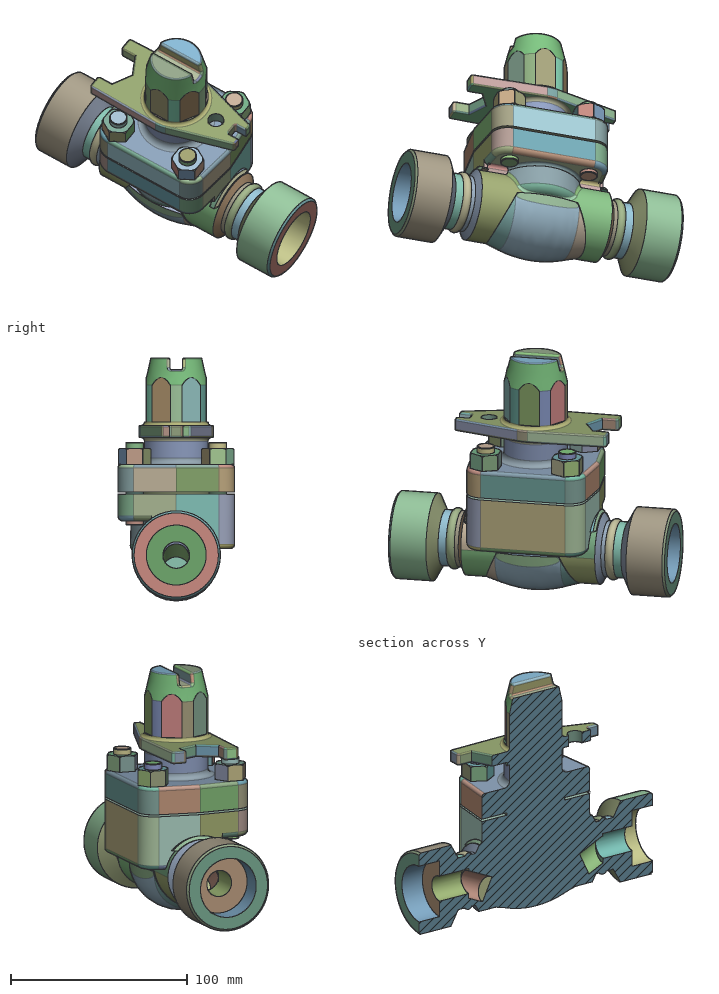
import cadquery as cq
import math


FACE_X = 80.0
SOCKET_R = 25.0
SOCKET_CHAMFER = 1.2
SOCKET_SHOULDER_X = 58.0
SOCKET_CONE_X = 53.0
SOCKET_BORE_R = 33.9 / 2
SOCKET_DEPTH = 14.0
NECK_R = 16.0
WELD_X = 46.0
WELD_HALF_WIDTH = 2.4
WELD_R = 17.4
BODY_CONE_X = 41.3
BODY_X = 38.8
BODY_R = 20.4
COLLAR_X = 37.0
COLLAR_R = 22.2
COLLAR_INNER_X = 34.0
COLLAR_BOTTOM_Z = 14.6

BORE_R = 7.5
BORE_BEND_X = 46.0
BORE_TILT = 25.0
BORE_TILT_DROP = 2.0
BORE_TILT_LENGTH = 14.0

BOWL_AXIS_DROP = 2.0
BOWL_DEPTH = 26.0
BOWL_TOP_X = 18.0
BOWL_ARC_X = 19.0
BOWL_ARC_DEPTH = 22.9
BOWL_BOTTOM_X = 27.5
BOWL_FRONT_Y = 23.6
BOWL_FRONT_END_Y = 21.2

POCKET_TOP_R = 25.5
POCKET_BOTTOM_R = 26.2
POCKET_BOTTOM_Z = 1.2
POCKET_ROUND = 4.6
POCKET_BLEND_R = 2.6

FLANGE_HALF_Y = 33.0
FLANGE_HALF_X = 37.0
FLANGE_END_X = 33.5
FLANGE_CORNER_R = 10.0
FLANGE_BOTTOM_Z = 19.2
FLANGE_BOTTOM_ROUND = 3.0
GAP_BOTTOM_Z = 34.4
GAP_TOP_Z = 35.6
BONNET_TOP_Z = 51.2
BONNET_ROUND = 2.0
GASKET_R = 20.0
REAR_BOTTOM_Z = 3.6
REAR_BOTTOM_ROUND = 2.5
REAR_WALL_Y = -14.0
UNDERSIDE_BLEND_R = 2.0

STUD_X = 23.6
STUD_Y = 23.5
STUD_R = 5.0
STUD_BOTTOM_Z = 17.0
STUD_TOP_Z = 63.7
STUD_CHAMFER = 0.4
NUT_SIDES = 6
NUT_FLATS = 16.0
NUT_TOP_Z = 60.3
NUT_TRIM_R = 18.38 / 2
NUT_CHAMFER = 0.7

STEM_R = 18.0
STEM_BASE_ROUND = 3.6
KNOB_FLAT = 17.0
KNOB_FLATS = 6
KNOB_CONE_Z = 96.0
KNOB_TOP_Z = 111.5
KNOB_TOP_R = 14.4
KNOB_TOP_ROUND = 0.8
SLOT_WIDTH = 7.0
SLOT_BOTTOM_Z = 104.8
SLOT_CORNER_R = 0.9
SLOT_EDGE_R = 1.3

PLATE_BOTTOM_Z = 66.4
PLATE_TOP_Z = 73.2
PLATE_EDGE_R = 0.8
HUB_R = 21.1
HUB_ROUND = 2.1
PRONG_X = -45.3
PRONG_OUTER_Y = 20.1
PRONG_INNER_Y = 11.5
PRONG_ROOT_X = -36.0
VEE_X = -30.0
TIP_X = 45.1
TIP_HALF_Y = 8.1
TIP_NOTCH_X = 37.8
TIP_NOTCH_HALF_Y = 3.7
TIP_NOTCH_R = 1.0
TIP_CORNER_R = 1.2
PRONG_CORNER_R = 1.5
PLATE_HOLE_X = 27.0
PLATE_HOLE_R = 4.5
PIN_R = 1.5
PIN_Z = 65.9
PIN_END_X = 19.6

MARGIN = 1.0
EDGE_MARGIN = 0.1
EDGE_SAMPLES = (0.2, 0.5, 0.8)
ON_SURFACE = 0.001


def cylinder_z(radius, bottom, top):
    return cq.Workplane("XY").workplane(offset=bottom).circle(radius).extrude(top - bottom)


def cylinder_x(radius, start, end):
    return cq.Workplane("YZ").workplane(offset=start).circle(radius).extrude(end - start)


def box(x0, x1, y0, y1, z0, z1):
    return cq.Workplane("XY").box(x1 - x0, y1 - y0, z1 - z0, centered=False).translate((x0, y0, z0))


def revolve_x(profile):
    return profile.close().revolve(360, (0, 0, 0), (1, 0, 0))


def concave_ring(inner_r, blend_r, z, direction):
    chord = blend_r * (1 - math.sqrt(0.5))
    end_z = z + direction * blend_r
    profile = (
        cq.Workplane("XZ")
        .moveTo(0, z)
        .lineTo(inner_r + blend_r, z)
        .threePointArc((inner_r + chord, z + direction * chord), (inner_r, end_z))
        .lineTo(0, end_z)
        .close()
    )
    return profile.revolve(360, (0, 0, 0), (0, 1, 0))


def pipe_half():
    profile = (
        cq.Workplane("XZ")
        .moveTo(0, 0)
        .lineTo(0, BODY_R)
        .lineTo(BODY_X, BODY_R)
        .lineTo(BODY_CONE_X, NECK_R)
        .lineTo(WELD_X - WELD_HALF_WIDTH, NECK_R)
        .threePointArc((WELD_X, WELD_R), (WELD_X + WELD_HALF_WIDTH, NECK_R))
        .lineTo(SOCKET_CONE_X, NECK_R)
        .lineTo(SOCKET_SHOULDER_X, SOCKET_R)
        .lineTo(FACE_X - SOCKET_CHAMFER, SOCKET_R)
        .lineTo(FACE_X, SOCKET_R - SOCKET_CHAMFER)
        .lineTo(FACE_X, 0)
    )
    half = revolve_x(profile)
    collar_profile = (
        cq.Workplane("XZ")
        .moveTo(COLLAR_INNER_X, 0)
        .lineTo(COLLAR_INNER_X, COLLAR_R)
        .lineTo(COLLAR_X, COLLAR_R)
        .lineTo(BODY_CONE_X, NECK_R)
        .lineTo(BODY_CONE_X, 0)
    )
    upper = box(0, FACE_X, -SOCKET_R, SOCKET_R, COLLAR_BOTTOM_Z, SOCKET_R)
    return half.union(revolve_x(collar_profile).intersect(upper))


def passage_half():
    socket = cylinder_x(SOCKET_BORE_R, FACE_X - SOCKET_DEPTH, FACE_X)
    bore = cylinder_x(BORE_R, BORE_BEND_X, FACE_X)
    tilt = math.radians(BORE_TILT)
    inward = cq.Plane((BORE_BEND_X, 0, -BORE_TILT_DROP), (0, 1, 0), (-math.cos(tilt), 0, -math.sin(tilt)))
    slope = cq.Workplane(inward).workplane(offset=-BORE_R).circle(BORE_R).extrude(BORE_R + BORE_TILT_LENGTH)
    inner_side = box(0, BORE_BEND_X, -BODY_R, BODY_R, -BODY_R, BODY_R)
    return socket.union(bore).union(slope.intersect(inner_side))


def both_ends(half):
    return half.union(half.mirror("YZ"))


def bowl():
    profile = (
        cq.Workplane("XZ")
        .moveTo(-BOWL_BOTTOM_X, 0)
        .lineTo(-BOWL_BOTTOM_X, BODY_R - BOWL_AXIS_DROP)
        .lineTo(-BOWL_ARC_X, BOWL_ARC_DEPTH - BOWL_AXIS_DROP)
        .threePointArc((0, BOWL_DEPTH - BOWL_AXIS_DROP), (BOWL_ARC_X, BOWL_ARC_DEPTH - BOWL_AXIS_DROP))
        .lineTo(BOWL_BOTTOM_X, BODY_R - BOWL_AXIS_DROP)
        .lineTo(BOWL_BOTTOM_X, 0)
    )
    sides = (
        cq.Workplane("XZ")
        .polyline([
            (-BOWL_TOP_X, 0), (BOWL_TOP_X, 0),
            (BOWL_BOTTOM_X, -BODY_R), (BOWL_BOTTOM_X, -BOWL_DEPTH),
            (-BOWL_BOTTOM_X, -BOWL_DEPTH), (-BOWL_BOTTOM_X, -BODY_R),
        ])
        .close()
        .extrude(BOWL_DEPTH, both=True)
    )
    bowl_body = revolve_x(profile).translate((0, 0, -BOWL_AXIS_DROP)).intersect(sides)
    bulge = BOWL_FRONT_Y - BOWL_FRONT_END_Y
    bulge_r = (BOWL_TOP_X**2 + bulge**2) / (2 * bulge)
    wall = cylinder_z(bulge_r, -BOWL_DEPTH - MARGIN, MARGIN)
    for side in (-1, 1):
        bowl_body = bowl_body.intersect(wall.translate((0, side * (BOWL_FRONT_Y - bulge_r), 0)))
    return bowl_body


def lies_on_pipe(edge):
    points = [edge.positionAt(share) for share in EDGE_SAMPLES]
    return all(abs(math.hypot(point.y, point.z) - BODY_R) < ON_SURFACE for point in points)


def front_pocket_wall():
    height = FLANGE_BOTTOM_Z - POCKET_BOTTOM_Z
    wall = (
        cq.Workplane("XY")
        .workplane(offset=POCKET_BOTTOM_Z)
        .circle(POCKET_BOTTOM_R)
        .workplane(offset=height)
        .circle(POCKET_TOP_R)
        .loft(ruled=True)
    )
    wall = wall.faces("<Z").edges().fillet(POCKET_ROUND)
    front = box(-FLANGE_END_X, FLANGE_END_X, -FLANGE_HALF_Y, 0, POCKET_BOTTOM_Z, FLANGE_BOTTOM_Z)
    pipe = cylinder_x(BODY_R, -BODY_X, BODY_X)
    joined = pipe.union(wall.intersect(front))
    foot_zone = cq.selectors.BoxSelector(
        (-POCKET_BOTTOM_R, -POCKET_BOTTOM_R, 0),
        (POCKET_BOTTOM_R, -MARGIN, FLANGE_BOTTOM_Z - MARGIN),
    )
    foot = [edge for edge in joined.edges(foot_zone).vals() if lies_on_pipe(edge)]
    blended = joined.newObject(foot).fillet(POCKET_BLEND_R)
    top_blend = concave_ring(POCKET_TOP_R, UNDERSIDE_BLEND_R, FLANGE_BOTTOM_Z, -1)
    return blended.union(top_blend.intersect(front))


def flange_block(bottom, top):
    outline = [
        (FLANGE_HALF_X, 0), (FLANGE_END_X, FLANGE_HALF_Y), (-FLANGE_END_X, FLANGE_HALF_Y),
        (-FLANGE_HALF_X, 0), (-FLANGE_END_X, -FLANGE_HALF_Y), (FLANGE_END_X, -FLANGE_HALF_Y),
    ]
    block = cq.Workplane("XY").workplane(offset=bottom).polyline(outline).close().extrude(top - bottom)
    return block.edges("|Z").edges(">Y or <Y").fillet(FLANGE_CORNER_R)


def body_flange():
    plate = flange_block(FLANGE_BOTTOM_Z, GAP_BOTTOM_Z).faces("<Z").edges().fillet(FLANGE_BOTTOM_ROUND)
    rear = flange_block(REAR_BOTTOM_Z, GAP_BOTTOM_Z).faces("<Z").edges().fillet(REAR_BOTTOM_ROUND)
    keep = box(-FLANGE_HALF_X, FLANGE_HALF_X, REAR_WALL_Y, FLANGE_HALF_Y, REAR_BOTTOM_Z, GAP_BOTTOM_Z)
    strip = box(
        -FLANGE_END_X, FLANGE_END_X,
        REAR_WALL_Y - UNDERSIDE_BLEND_R, REAR_WALL_Y,
        FLANGE_BOTTOM_Z - UNDERSIDE_BLEND_R, FLANGE_BOTTOM_Z,
    )
    hollow = cylinder_x(UNDERSIDE_BLEND_R, -FLANGE_END_X, FLANGE_END_X).translate(
        (0, REAR_WALL_Y - UNDERSIDE_BLEND_R, FLANGE_BOTTOM_Z - UNDERSIDE_BLEND_R)
    )
    return plate.union(rear.intersect(keep)).union(strip.cut(hollow))


def bonnet():
    cover = flange_block(GAP_TOP_Z, BONNET_TOP_Z).faces(">Z").edges().fillet(BONNET_ROUND)
    stem = cylinder_z(STEM_R, BONNET_TOP_Z, PLATE_BOTTOM_Z)
    cover = cover.union(stem).union(concave_ring(STEM_R, STEM_BASE_ROUND, BONNET_TOP_Z, 1))
    return cover.union(cylinder_z(GASKET_R, GAP_BOTTOM_Z, GAP_TOP_Z))


def stud_and_nut():
    stud = cylinder_z(STUD_R, STUD_BOTTOM_Z, STUD_TOP_Z).faces("<Z or >Z").edges().chamfer(STUD_CHAMFER)
    half_facet = 180 / NUT_SIDES
    across_corners = NUT_FLATS / math.cos(math.radians(half_facet))
    height = NUT_TOP_Z - BONNET_TOP_Z
    nut = (
        cq.Workplane("XY")
        .workplane(offset=BONNET_TOP_Z)
        .transformed(rotate=(0, 0, half_facet))
        .polygon(NUT_SIDES, across_corners)
        .extrude(height)
    )
    trim = cylinder_z(NUT_TRIM_R, BONNET_TOP_Z, NUT_TOP_Z).faces(">Z").chamfer(NUT_CHAMFER)
    return stud.union(nut.intersect(trim))


def studs():
    places = [(x, y) for x in (-STUD_X, STUD_X) for y in (-STUD_Y, STUD_Y)]
    unit = stud_and_nut()
    group = cq.Workplane("XY")
    for x, y in places:
        group = group.union(unit.translate((x, y, 0)))
    return group


def handle_plate():
    tip_angle = math.atan2(TIP_HALF_Y, TIP_X)
    tangent_angle = tip_angle + math.acos(HUB_R / math.hypot(TIP_X, TIP_HALF_Y))
    mid_angle = (tangent_angle + math.pi / 2) / 2
    tangent_x = HUB_R * math.cos(tangent_angle)
    tangent_y = HUB_R * math.sin(tangent_angle)
    mid_x = HUB_R * math.cos(mid_angle)
    mid_y = HUB_R * math.sin(mid_angle)
    plate = (
        cq.Workplane("XY")
        .workplane(offset=PLATE_BOTTOM_Z)
        .moveTo(VEE_X, 0)
        .lineTo(PRONG_ROOT_X, PRONG_INNER_Y)
        .lineTo(PRONG_X, PRONG_INNER_Y)
        .lineTo(PRONG_X, PRONG_OUTER_Y)
        .lineTo(0, HUB_R)
        .threePointArc((mid_x, mid_y), (tangent_x, tangent_y))
        .lineTo(TIP_X, TIP_HALF_Y)
        .lineTo(TIP_X, TIP_NOTCH_HALF_Y)
        .lineTo(TIP_NOTCH_X, TIP_NOTCH_HALF_Y)
        .lineTo(TIP_NOTCH_X, -TIP_NOTCH_HALF_Y)
        .lineTo(TIP_X, -TIP_NOTCH_HALF_Y)
        .lineTo(TIP_X, -TIP_HALF_Y)
        .lineTo(tangent_x, -tangent_y)
        .threePointArc((mid_x, -mid_y), (0, -HUB_R))
        .lineTo(PRONG_X, -PRONG_OUTER_Y)
        .lineTo(PRONG_X, -PRONG_INNER_Y)
        .lineTo(PRONG_ROOT_X, -PRONG_INNER_Y)
        .close()
        .extrude(PLATE_TOP_Z - PLATE_BOTTOM_Z)
    )
    plate = plate.edges("|Z").edges("<X").fillet(PRONG_CORNER_R)
    plate = plate.edges("|Z").edges(">X").edges(">Y or <Y").fillet(TIP_CORNER_R)
    notch_corners = cq.selectors.BoxSelector(
        (TIP_NOTCH_X - MARGIN, -TIP_NOTCH_HALF_Y - MARGIN, PLATE_BOTTOM_Z),
        (TIP_NOTCH_X + MARGIN, TIP_NOTCH_HALF_Y + MARGIN, PLATE_TOP_Z),
    )
    plate = plate.edges("|Z").edges(notch_corners).fillet(TIP_NOTCH_R)
    plate = plate.faces("<Z or >Z").edges().fillet(PLATE_EDGE_R)
    hole = cylinder_z(PLATE_HOLE_R, PLATE_BOTTOM_Z, PLATE_TOP_Z).translate((PLATE_HOLE_X, 0, 0))
    return plate.cut(hole)


def knob():
    profile = (
        cq.Workplane("XZ")
        .moveTo(0, PLATE_BOTTOM_Z)
        .lineTo(STEM_R, PLATE_BOTTOM_Z)
        .lineTo(STEM_R, KNOB_CONE_Z)
        .lineTo(KNOB_TOP_R, KNOB_TOP_Z)
        .lineTo(0, KNOB_TOP_Z)
        .close()
    )
    grip = profile.revolve(360, (0, 0, 0), (0, 1, 0))
    flats_bottom = PLATE_TOP_Z + HUB_ROUND
    for index in range(KNOB_FLATS):
        shaving = box(KNOB_FLAT, STEM_R + MARGIN, -STEM_R, STEM_R, flats_bottom, KNOB_TOP_Z)
        angle = (index + 0.5) * 360 / KNOB_FLATS
        grip = grip.cut(shaving.rotate((0, 0, 0), (0, 0, 1), angle))
    slot = box(-STEM_R, STEM_R, -SLOT_WIDTH / 2, SLOT_WIDTH / 2, SLOT_BOTTOM_Z, KNOB_TOP_Z)
    slot = slot.faces("<Z").edges("|X").fillet(SLOT_CORNER_R)
    grip = grip.cut(slot)
    slot_zone = cq.selectors.BoxSelector(
        (-STEM_R, -SLOT_WIDTH / 2 - EDGE_MARGIN, SLOT_BOTTOM_Z - EDGE_MARGIN),
        (STEM_R, SLOT_WIDTH / 2 + EDGE_MARGIN, KNOB_TOP_Z + EDGE_MARGIN),
    )
    slot_edges = grip.edges(slot_zone)
    rim = slot_edges.edges(">Z").add(slot_edges.edges("not %LINE"))
    return rim.fillet(SLOT_EDGE_R).faces(">Z").edges().fillet(KNOB_TOP_ROUND)


def pin():
    return cylinder_x(PIN_R, -PIN_END_X, 0).translate((0, 0, PIN_Z))


result = both_ends(pipe_half())
result = result.union(bowl()).union(front_pocket_wall()).union(body_flange())
result = result.cut(both_ends(passage_half()))
result = result.union(bonnet()).union(studs())
result = result.union(handle_plate()).union(knob())
result = result.union(concave_ring(STEM_R, HUB_ROUND, PLATE_TOP_Z, 1))
result = result.union(concave_ring(STEM_R, HUB_ROUND, PLATE_BOTTOM_Z, -1)).union(pin())